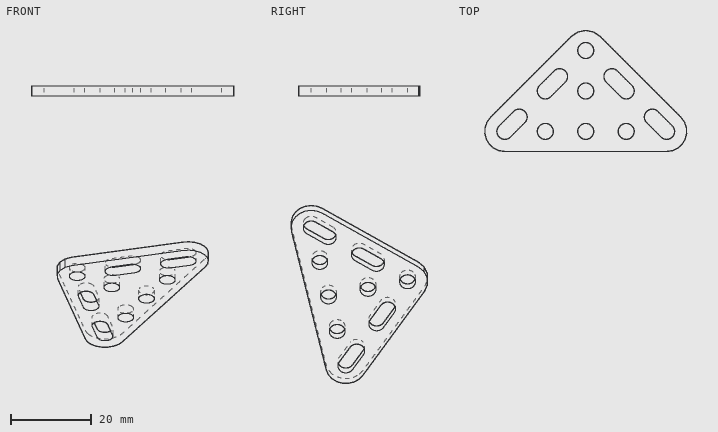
import cadquery as cq
import math

pitch = 10.0
thickness = 2.5
corner_radius = 5.0
base_corner_facets = 8
apex_corner_facets = 4
hole_diameter = 3.9
slot_travel = 5.0

half_base = 2 * pitch
apex_height = 2 * pitch
edge_angle = 45.0


def corner_points(centre_x, centre_y, start_angle, sweep, facets):
    """Points of a corner rounded by equal flat facets, running counterclockwise about its centre."""
    points = []
    for step in range(facets + 1):
        angle = math.radians(start_angle + sweep * step / facets)
        x = centre_x + corner_radius * math.cos(angle)
        y = centre_y + corner_radius * math.sin(angle)
        points.append((x, y))
    return points


def make_plate():
    """Triangular plate whose corners are rounded by narrow flat facets."""
    base_sweep = 180 - edge_angle
    apex_sweep = 2 * edge_angle
    right_corner = corner_points(half_base, 0, -90, base_sweep, base_corner_facets)
    apex_corner = corner_points(0, apex_height, 90 - edge_angle, apex_sweep, apex_corner_facets)
    left_corner = corner_points(-half_base, 0, 90 + edge_angle, base_sweep, base_corner_facets)
    outline = right_corner + apex_corner + left_corner
    return cq.Workplane("XY").polyline(outline).close().extrude(thickness)


def make_holes():
    """Round through holes along the base row and up the centre line."""
    centres = [(-pitch, 0), (0, 0), (pitch, 0), (0, pitch), (0, apex_height)]
    return cq.Workplane("XY").pushPoints(centres).circle(hole_diameter / 2).extrude(thickness)


def make_slot(side, row):
    """Through slot running up the sloping edge on one side (-1 left, +1 right) from a grid row."""
    start_x = side * (half_base - row * pitch)
    start_y = row * pitch
    shift = slot_travel * math.cos(math.radians(edge_angle))
    return (
        cq.Workplane("XY")
        .center(start_x - side * shift / 2, start_y + shift / 2)
        .slot2D(slot_travel + hole_diameter, hole_diameter, angle=-side * edge_angle)
        .extrude(thickness)
    )


result = make_plate().cut(make_holes())
for side in (-1, 1):
    for row in (0, 1):
        result = result.cut(make_slot(side, row))